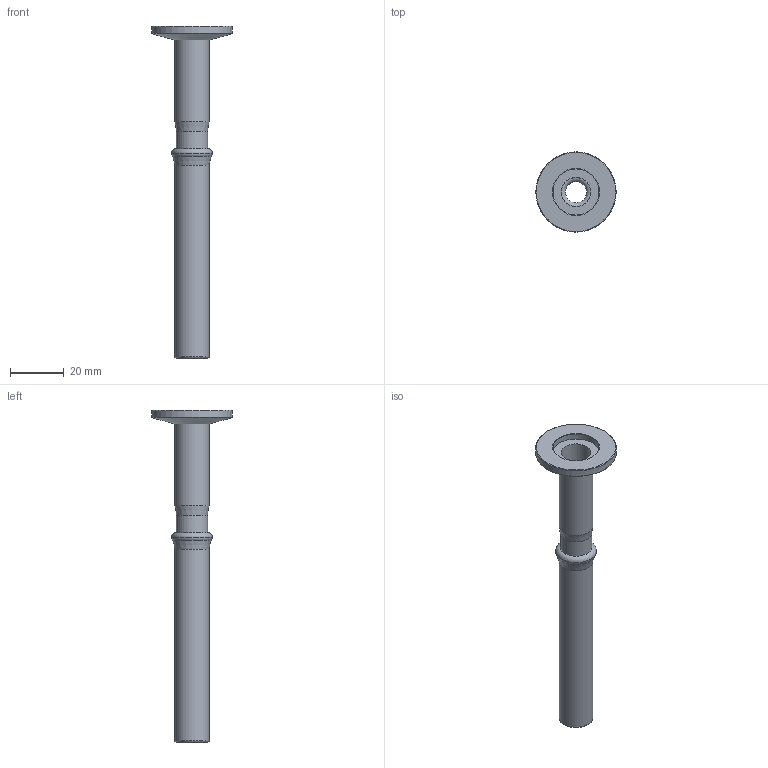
import cadquery as cq
import math

total_length = 123.83
flange_diameter = 29.97
flange_radius = flange_diameter / 2

rim_height = 2.7
rim_edge_break = 0.2
rim_lower_chamfer = 0.25
flange_taper_angle = 15.0
recess_radius = 8.6
recess_depth = 2.35
recess_edge_break = 0.15

tube_radius = 6.35
tube_wall = 0.9
tube_end_radius = 0.4

waist_radius = 5.825
waist_start_depth = 35.8
waist_full_depth = 39.2
bead_center_depth = 47.45
bead_section_radius = 1.75
bead_lower_arc_drop = 1.15
bead_taper_end_depth = 52.0

throat_radius = 3.95

bore_radius = tube_radius - tube_wall
throat_lip_radius = bore_radius - throat_radius
bead_radius = waist_radius + bead_section_radius
bead_top_depth = bead_center_depth - bead_section_radius
bead_bottom_depth = bead_center_depth + bead_lower_arc_drop
bead_bottom_radius = waist_radius + math.sqrt(bead_section_radius**2 - bead_lower_arc_drop**2)


def height(depth):
    """Height above the tube's lower end of a level given below the top face."""
    return total_length - depth


def make_body():
    """Solid of revolution with the flange, tube, waist and bead."""
    rim_bottom_radius = flange_radius - rim_lower_chamfer
    rim_bottom_depth = rim_height + rim_lower_chamfer
    taper_height = (rim_bottom_radius - tube_radius) * math.tan(math.radians(flange_taper_angle))
    taper_end = height(rim_bottom_depth + taper_height)
    profile = (
        cq.Workplane("XZ")
        .moveTo(0, 0)
        .lineTo(tube_radius - tube_end_radius, 0)
        .radiusArc((tube_radius, tube_end_radius), -tube_end_radius)
        .lineTo(tube_radius, height(bead_taper_end_depth))
        .lineTo(bead_bottom_radius, height(bead_bottom_depth))
        .radiusArc((bead_radius, height(bead_center_depth)), -bead_section_radius)
        .radiusArc((waist_radius, height(bead_top_depth)), -bead_section_radius)
        .lineTo(waist_radius, height(waist_full_depth))
        .lineTo(tube_radius, height(waist_start_depth))
        .lineTo(tube_radius, taper_end)
        .lineTo(rim_bottom_radius, height(rim_bottom_depth))
        .lineTo(flange_radius, height(rim_height))
        .lineTo(flange_radius, height(rim_edge_break))
        .lineTo(flange_radius - rim_edge_break, total_length)
        .lineTo(0, total_length)
        .close()
    )
    return profile.revolve(360, (0, 0, 0), (0, 1, 0))


def make_bore():
    """Stepped bore: recess, tube bore, and a throat with rounded top and tapered bottom."""
    profile = (
        cq.Workplane("XZ")
        .moveTo(0, 0)
        .lineTo(bore_radius, 0)
        .lineTo(bore_radius, height(bead_taper_end_depth))
        .lineTo(throat_radius, height(bead_bottom_depth))
        .lineTo(throat_radius, height(waist_start_depth + throat_lip_radius))
        .radiusArc((bore_radius, height(waist_start_depth)), throat_lip_radius)
        .lineTo(bore_radius, height(recess_depth))
        .lineTo(recess_radius, height(recess_depth))
        .lineTo(recess_radius, height(recess_edge_break))
        .lineTo(recess_radius + recess_edge_break, total_length)
        .lineTo(0, total_length)
        .close()
    )
    return profile.revolve(360, (0, 0, 0), (0, 1, 0))


result = make_body().cut(make_bore())